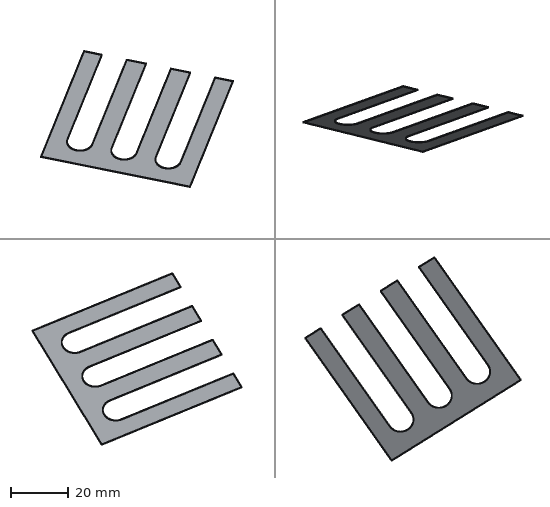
import cadquery as cq

width = 54.0
length = 54.5
thickness = 0.25

slot_count = 3
slot_width = 9.0
slot_pitch = 16.0
base_depth = 6.5

slot_radius = slot_width / 2
slot_end_y = -length / 2 + base_depth
arc_start_y = slot_end_y + slot_radius


def open_slot(center_x):
    """Cutter for one slot, round at the base and open at the +Y edge."""
    left = center_x - slot_radius
    right = center_x + slot_radius
    return (
        cq.Workplane("XY")
        .workplane(offset=-thickness / 2)
        .moveTo(left, length / 2)
        .lineTo(left, arc_start_y)
        .threePointArc((center_x, slot_end_y), (right, arc_start_y))
        .lineTo(right, length / 2)
        .close()
        .extrude(thickness)
    )


result = cq.Workplane("XY").box(width, length, thickness)
for index in range(slot_count):
    slot_x = (index - (slot_count - 1) / 2) * slot_pitch
    result = result.cut(open_slot(slot_x))